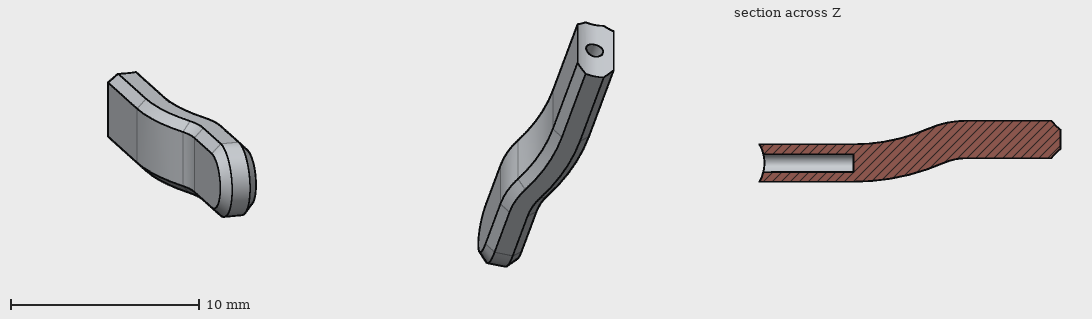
import cadquery as cq
import math

length = 16.0
width = 4.0
thickness = 2.0
edge_chamfer = thickness / 4
first_straight = 5.0
last_straight_start = 11.0
bend_inner_radius = 10.0
return_inner_radius = 3.0
seat_radius = 2.0
hole_diameter = 0.93
hole_depth = first_straight

bend_span = last_straight_start - first_straight
bend_outer_radius = bend_inner_radius + thickness
return_outer_radius = return_inner_radius + thickness
bend_angle = math.asin(bend_span / (bend_outer_radius + return_inner_radius))
offset = (bend_outer_radius + return_inner_radius) * (1 - math.cos(bend_angle))

x_start = -length / 2
y_bottom = -(thickness + offset) / 2
y_top = y_bottom + thickness
x_bend = x_start + first_straight
x_return = x_start + last_straight_start
tip_center_x = (length - width) / 2


def bend_point(radius, angle):
    """Point on the first bend, whose centre lies on the +Y side."""
    center_y = y_bottom + bend_outer_radius
    return (x_bend + radius * math.sin(angle), center_y - radius * math.cos(angle))


def return_point(radius, angle):
    """Point on the second bend, whose centre lies on the -Y side."""
    center_y = y_bottom + offset - return_inner_radius
    return (x_return - radius * math.sin(angle), center_y + radius * math.cos(angle))


def make_arm():
    """Bent arm with its long edges chamfered, up to the centre of the round tip."""
    half_angle = bend_angle / 2
    profile = (
        cq.Workplane("XY", origin=(0, 0, -width / 2))
        .moveTo(x_start, y_bottom)
        .lineTo(x_bend, y_bottom)
        .threePointArc(bend_point(bend_outer_radius, half_angle), bend_point(bend_outer_radius, bend_angle))
        .threePointArc(return_point(return_inner_radius, half_angle), return_point(return_inner_radius, 0))
        .lineTo(tip_center_x, y_bottom + offset)
        .lineTo(tip_center_x, y_top + offset)
        .lineTo(x_return, y_top + offset)
        .threePointArc(return_point(return_outer_radius, half_angle), return_point(return_outer_radius, bend_angle))
        .threePointArc(bend_point(bend_inner_radius, half_angle), bend_point(bend_inner_radius, 0))
        .lineTo(x_start, y_top)
        .close()
    )
    arm = profile.extrude(width)
    long_edges = arm.faces("<Z or >Z").edges("not(<X or >X)")
    return long_edges.chamfer(edge_chamfer)


def make_tip():
    """Chamfered disc that rounds off the far end."""
    return (
        cq.Workplane("XZ", origin=(tip_center_x, y_top + offset, 0))
        .circle(width / 2)
        .extrude(thickness)
        .edges()
        .chamfer(edge_chamfer)
    )


def make_seat_cutter():
    """Upright cylinder that hollows the near end across its full thickness."""
    sagitta = seat_radius - math.sqrt(seat_radius**2 - (thickness / 2) ** 2)
    center_x = x_start + sagitta - seat_radius
    return (
        cq.Workplane("XY", origin=(center_x, y_bottom + thickness / 2, -width / 2))
        .circle(seat_radius)
        .extrude(width)
    )


def make_hole_cutter():
    """Blind hole running from the hollow end along the first straight."""
    return (
        cq.Workplane("YZ", origin=(x_start, y_bottom + thickness / 2, 0))
        .circle(hole_diameter / 2)
        .extrude(hole_depth)
    )


result = make_arm().union(make_tip()).cut(make_seat_cutter()).cut(make_hole_cutter())